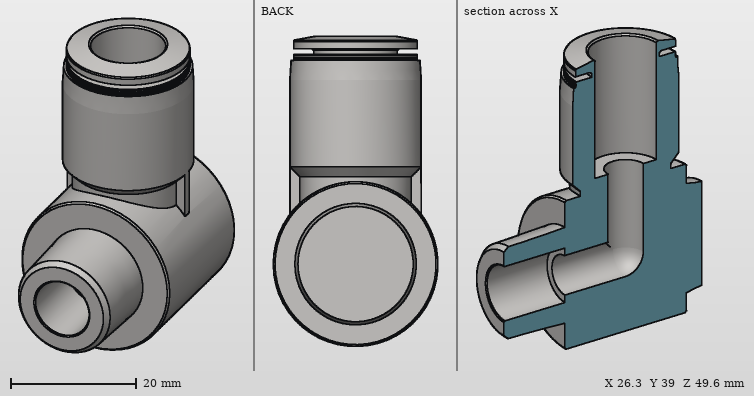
import cadquery as cq


barrel_diameter = 26.3
barrel_length = 24.0
barrel_edge_chamfer = 0.3
barrel_end = barrel_length / 2

boss_base_diameter = 19.4
boss_tip_diameter = 18.4
boss_length = 3.0

overall_length = 39.0
stud_length = overall_length - barrel_length - boss_length
stud_base_diameter = 17.0
stud_taper = 1 / 16
stud_tip_diameter = 14.8
stud_tip_chamfer_length = 0.9

stud_bore_diameter = 9.52
stud_bore_chamfer = 0.2
passage_diameter = 6.9

overall_height = 49.55
tower_top = overall_height - barrel_diameter / 2
tower_diameter = 21.0
tower_root_diameter = 17.9
tower_shoulder_height = 15.5
tower_undercut = (tower_diameter - tower_root_diameter) / 2
cap_bottom_height = 29.4
cap_top_height = 32.5
cap_top_diameter = 20.6

collar_diameter = 19.8
collar_top_height = 33.5
collar_groove_diameter = 19.6
collar_groove_bottom = 32.75
collar_groove_top = 33.0
collar_edge_chamfer = 0.15

button_diameter = 19.8
button_neck_diameter = 13.4
button_neck_top_diameter = 14.0
button_neck_flare_height = 0.25
button_flange_bottom = 34.35
button_rim_height = 35.75
button_rim_chamfer_height = 0.3
button_rim_chamfer_width = 0.1

socket_diameter = 12.0
socket_mouth_chamfer = 0.3
socket_floor_height = tower_shoulder_height

fin_thickness = 1.5


def revolve_about_y(profile):
    """Revolve a closed (radius, y) profile about the Y axis."""
    return cq.Workplane("XY").polyline(profile).close().revolve(360, (0, 0), (0, 1))


def revolve_about_z(profile):
    """Revolve a closed (radius, z) profile about the Z axis."""
    return cq.Workplane("XZ").polyline(profile).close().revolve(360, (0, 0), (0, 1))


def make_barrel():
    front_face = cq.Workplane("XZ", origin=(0, -barrel_end, 0))
    barrel = front_face.circle(barrel_diameter / 2).extrude(-barrel_length)
    return barrel.faces("<Y or >Y").edges().chamfer(barrel_edge_chamfer)


def make_boss():
    return revolve_about_y([
        (0, 0),
        (boss_base_diameter / 2, 0),
        (boss_base_diameter / 2, barrel_end),
        (boss_tip_diameter / 2, barrel_end + boss_length),
        (0, barrel_end + boss_length),
    ])


def make_stud():
    tip_y = -barrel_end - stud_length
    chamfer_y = tip_y + stud_tip_chamfer_length
    chamfer_diameter = stud_base_diameter - stud_taper * (stud_length - stud_tip_chamfer_length)
    return revolve_about_y([
        (0, 0),
        (stud_base_diameter / 2, 0),
        (stud_base_diameter / 2, -barrel_end),
        (chamfer_diameter / 2, chamfer_y),
        (stud_tip_diameter / 2, tip_y),
        (0, tip_y),
    ])


def make_tower():
    return revolve_about_z([
        (0, 0),
        (tower_root_diameter / 2, 0),
        (tower_root_diameter / 2, tower_shoulder_height - tower_undercut),
        (tower_diameter / 2, tower_shoulder_height),
        (tower_diameter / 2, cap_bottom_height),
        (cap_top_diameter / 2, cap_top_height),
        (collar_diameter / 2, cap_top_height),
        (collar_diameter / 2, collar_groove_bottom),
        (collar_groove_diameter / 2, collar_groove_bottom),
        (collar_groove_diameter / 2, collar_groove_top),
        (collar_diameter / 2, collar_groove_top),
        (collar_diameter / 2, collar_top_height - collar_edge_chamfer),
        (collar_diameter / 2 - collar_edge_chamfer, collar_top_height),
        (0, collar_top_height),
    ])


def make_button():
    mouth_radius = socket_diameter / 2 + socket_mouth_chamfer
    return revolve_about_z([
        (0, cap_top_height),
        (button_neck_diameter / 2, cap_top_height),
        (button_neck_diameter / 2, button_flange_bottom - button_neck_flare_height),
        (button_neck_top_diameter / 2, button_flange_bottom),
        (button_diameter / 2, button_flange_bottom),
        (button_diameter / 2, button_rim_height - button_rim_chamfer_height),
        (button_diameter / 2 - button_rim_chamfer_width, button_rim_height),
        (mouth_radius, tower_top),
        (0, tower_top),
    ])


def make_fins():
    """A plate across the tower, rounded at its ends to lie flush with the tower wall."""
    plate = cq.Workplane("XY").rect(tower_diameter, fin_thickness).extrude(tower_shoulder_height)
    tower_envelope = cq.Workplane("XY").circle(tower_diameter / 2).extrude(tower_shoulder_height)
    return plate.intersect(tower_envelope)


def make_stud_bore():
    tip_y = -barrel_end - stud_length
    bore_radius = stud_bore_diameter / 2
    return revolve_about_y([
        (0, -barrel_end),
        (bore_radius, -barrel_end),
        (bore_radius, tip_y + stud_bore_chamfer),
        (bore_radius + stud_bore_chamfer, tip_y),
        (0, tip_y),
    ])


def make_tube_socket():
    socket_radius = socket_diameter / 2
    return revolve_about_z([
        (0, socket_floor_height),
        (socket_radius, socket_floor_height),
        (socket_radius, tower_top - socket_mouth_chamfer),
        (socket_radius + socket_mouth_chamfer, tower_top),
        (0, tower_top),
    ])


def make_passage():
    """Two equal bores that meet in a ball-shaped elbow at the origin."""
    passage_radius = passage_diameter / 2
    level_bore = cq.Workplane("XZ").circle(passage_radius).extrude(barrel_end)
    upright_bore = cq.Workplane("XY").circle(passage_radius).extrude(socket_floor_height)
    elbow = cq.Workplane("XY").sphere(passage_radius)
    return level_bore.union(upright_bore).union(elbow)


result = make_barrel()
for addition in (make_boss(), make_stud(), make_tower(), make_button(), make_fins()):
    result = result.union(addition)
for cavity in (make_stud_bore(), make_tube_socket(), make_passage()):
    result = result.cut(cavity)